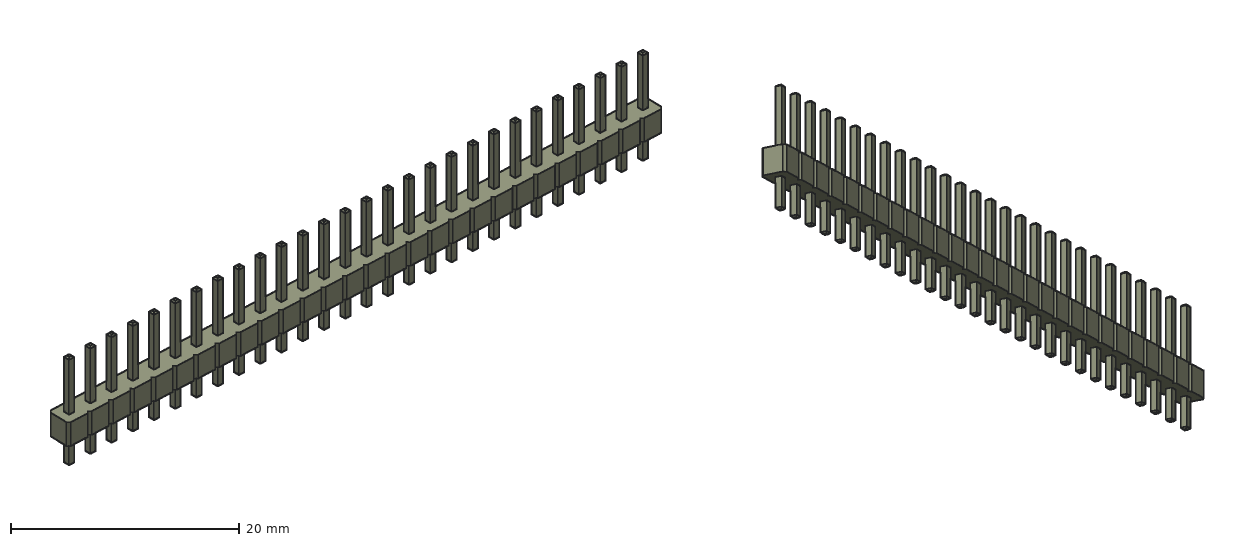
import cadquery as cq

pin_count = 28
pitch = 2.54
body_width = pitch
body_height = pitch
body_corner_chamfer = pitch / 10

pin_width = 0.64
pin_tip_chamfer = pin_width / 4
pin_above_body = 6.0
pin_below_body = 3.0

pin_length = pin_below_body + body_height + pin_above_body
first_pin_y = -(pin_count - 1) * pitch / 2


def insulator_cell(y):
    """One square cell of the insulator with its four vertical edges chamfered."""
    cell = cq.Workplane("XY").box(body_width, pitch, body_height, centered=(True, True, False))
    return cell.edges("|Z").chamfer(body_corner_chamfer).translate((0, y, 0))


def contact_pin(y):
    """One square pin through the insulator, with both tips chamfered."""
    pin = cq.Workplane("XY").box(pin_width, pin_width, pin_length, centered=(True, True, False))
    pin = pin.faces("<Z or >Z").chamfer(pin_tip_chamfer)
    return pin.translate((0, y, -pin_below_body))


result = insulator_cell(first_pin_y).union(contact_pin(first_pin_y))
for index in range(1, pin_count):
    pin_y = first_pin_y + index * pitch
    result = result.union(insulator_cell(pin_y)).union(contact_pin(pin_y))
result = result.clean()